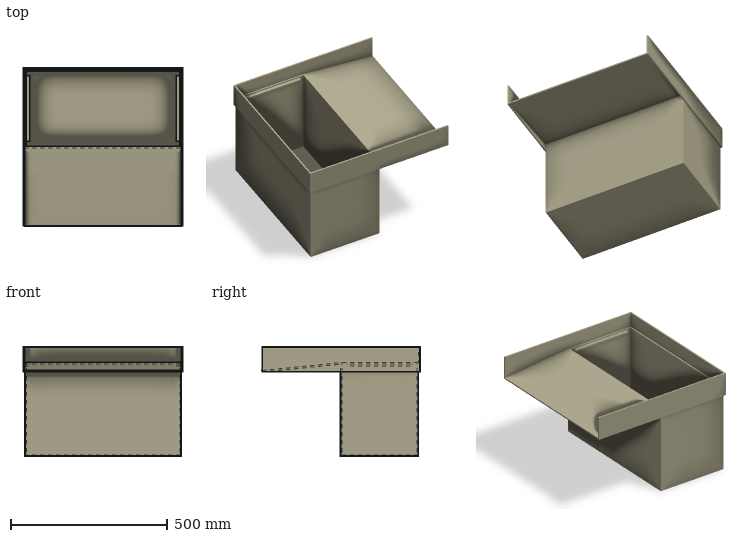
import cadquery as cq
import math

sheet = 5.0
tub_width = 500.0
tub_depth = 250.0
tub_height = 300.0
skirt_depth = 500.0
skirt_height = 80.0
skirt_above_rim = 50.0
rail_width = 10.0
rail_thickness = 5.0
rail_end_gap = 15.0
rail_drop = 5.0

half_tub = tub_width / 2
half_inside = half_tub - sheet
skirt_top = tub_height + skirt_above_rim
skirt_bottom = skirt_top - skirt_height
rail_top = tub_height - rail_drop


def block(x_range, y_range, z_range):
    """Axis-aligned block between two positions along each axis, given in either order."""
    ranges = (x_range, y_range, z_range)
    size = [abs(end - start) for start, end in ranges]
    corner = tuple(min(limits) for limits in ranges)
    return cq.Workplane("XY").box(*size, centered=False).translate(corner)


def make_tub():
    """Open-topped box with walls and floor one sheet thick."""
    outside = block((-half_tub, half_tub), (-tub_depth, 0), (0, tub_height))
    inside = block((-half_inside, half_inside), (sheet - tub_depth, -sheet), (sheet, tub_height))
    return outside.cut(inside)


def make_side_panel(side):
    """Upright panel along one side of the tub and ramp; side is -1 or 1."""
    x_range = (side * half_tub, side * (half_tub + sheet))
    return block(x_range, (-skirt_depth, 0), (skirt_bottom, skirt_top))


def make_back_panel():
    """Upright panel behind the tub that also covers the ends of the side panels."""
    half_skirt = half_tub + sheet
    return block((-half_skirt, half_skirt), (0, sheet), (skirt_bottom, skirt_top))


def make_rail(side):
    """Ledge on the inner face of one tub side wall; side is -1 or 1."""
    x_range = (side * half_inside, side * (half_inside - rail_width))
    y_range = (sheet + rail_end_gap - tub_depth, -sheet - rail_end_gap)
    return block(x_range, y_range, (rail_top - rail_thickness, rail_top))


def make_ramp():
    """Sloping plate from the tub rim down to the skirt bottom, its front end square to the slope."""
    run = skirt_depth - tub_depth
    rise = tub_height - sheet - skirt_bottom
    slope = math.atan2(rise, run)
    front_bottom = (-skirt_depth, skirt_bottom)
    front_top = (-skirt_depth - sheet * math.sin(slope), skirt_bottom + sheet * math.cos(slope))
    back_top = (-tub_depth, tub_height)
    back_bottom = (-tub_depth, tub_height - sheet)
    profile = cq.Workplane("YZ").polyline([front_bottom, front_top, back_top, back_bottom]).close()
    return profile.extrude(half_tub, both=True)


result = make_tub().union(make_back_panel()).union(make_ramp())
for side in (-1, 1):
    result = result.union(make_side_panel(side)).union(make_rail(side))